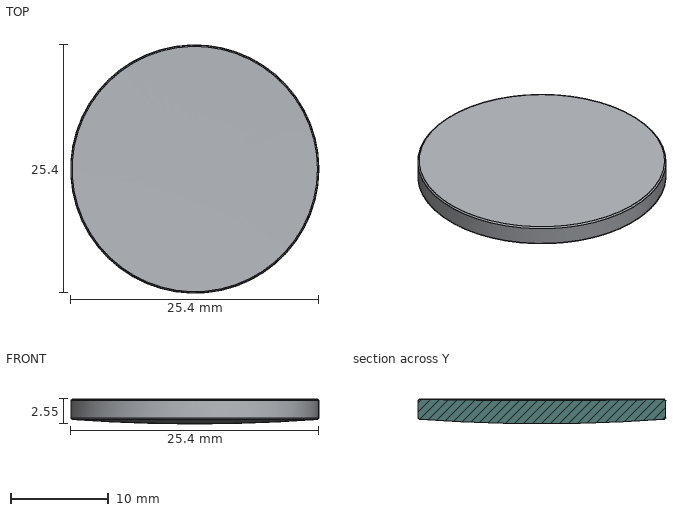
import cadquery as cq

diameter = 25.4
overall_height = 2.55
bottom_sag = 0.45
top_sag = 0.13
bevel = 0.15

radius = diameter / 2
face_radius = radius - bevel


def sag_at_half_radius(sag):
    """Distance of a spherical face from its apex plane at half the face radius."""
    sphere_radius = (face_radius**2 + sag**2) / (2 * sag)
    return sphere_radius - (sphere_radius**2 - (face_radius / 2) ** 2) ** 0.5


profile = (
    cq.Workplane("XZ")
    .moveTo(0, 0)
    .threePointArc((face_radius / 2, sag_at_half_radius(bottom_sag)), (face_radius, bottom_sag))
    .lineTo(radius, bottom_sag + bevel)
    .lineTo(radius, overall_height - bevel)
    .lineTo(face_radius, overall_height)
    .threePointArc(
        (face_radius / 2, overall_height - top_sag + sag_at_half_radius(top_sag)),
        (0, overall_height - top_sag),
    )
    .close()
)

result = profile.revolve(360, (0, 0, 0), (0, 1, 0))